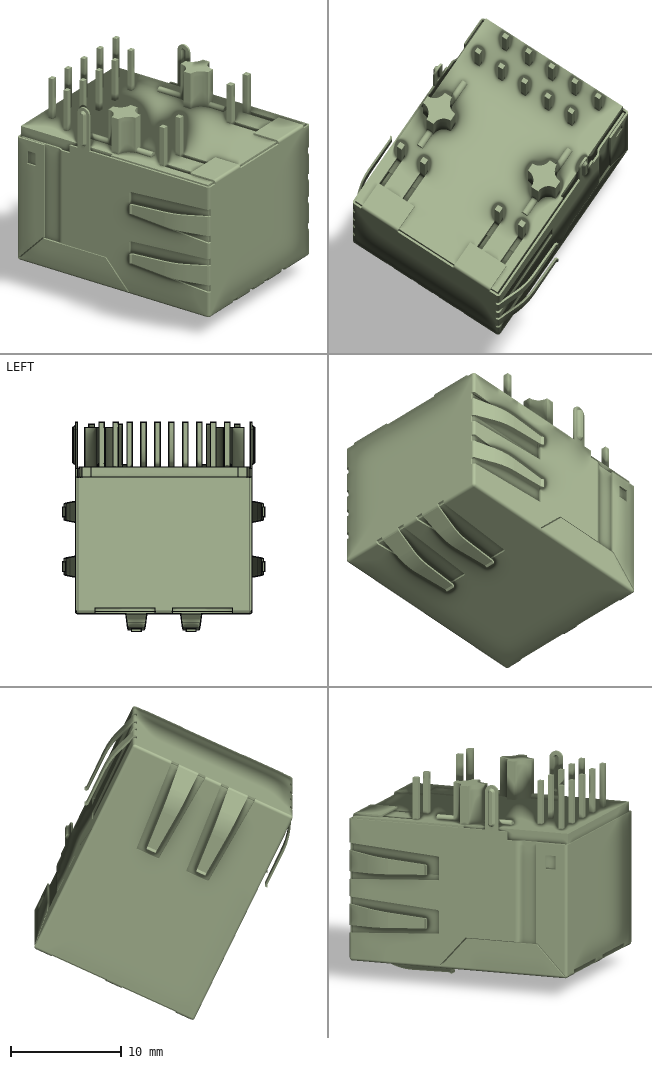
import cadquery as cq
import math


length = 21.3
half_width = 8.03
sheet = 0.2
bend_radius = 0.25
housing_top = 13.35
shield_top = housing_top + sheet
side_top = 13.2
rear_top = 12.42
rear_step_x = 5.85
inner_half_width = half_width - sheet
front_inner_x = length - sheet

tab_start_x = 18.5
tab_inner_y = 3.05
tab_outer_y = 7.0

wing_end_x = 3.0
joggle_start_x = 4.35
joggle_end_x = 5.07
joggle_depth = 0.25
joggle_rear_x = 0.35
wing_window_x = (1.1, 2.09)
wing_window_z = (10.03, 11.33)
catch_start_x = 1.28
catch_height = 0.15
catch_bottom_z = 10.15

flap_slant_gap = 0.17
flap_top_gap = 0.09
flap_height = 2.96
flap_top_x = (2.95, 9.82)
flap_bottom_x = (0.09, 12.5)

relief_y = (0.79, 6.25)
relief_height = 0.51
relief_depth = 0.23

finger_tip_x = 13.3
finger_kink_x = 13.48
finger_kink = 0.13
finger_arc_x = (17.08, 19.21)
finger_tip_half = 0.45
finger_root_half = 0.98
window_start_x = 12.5
window_start_half = 1.1
window_end_half = 1.7
window_corner_radius = 0.13
window_depth = 0.35
side_finger_z = (4.28, 9.27)
bottom_finger_y = 2.5
side_finger_offset, side_finger_angle = 0.94, 20.0
bottom_finger_offset, bottom_finger_angle = 1.38, 27.0

leg_x = 7.37
leg_width = 1.28
leg_top = 17.4
leg_root_z = 12.45
bead_width = 0.68
bead_height = 0.25
bead_taper = 35
bead_z = (13.55, 17.1)
hollow_margin = 0.09
hollow_depth = 0.3
hollow_taper = 20

core_y = -0.06
lip_x = 0.1
housing_half = 7.75
housing_front_x = 21.02
housing_rear_half = 7.48
housing_step_x = 10.29
side_recess_z = (8.55, 11.08)
side_recess_depth = 0.1
peg_x = 10.37
peg_y = 5.73
peg_half = 1.51
peg_tip_half = 0.38
peg_top = 16.93
rib_x = (6.25, 13.55)
rib_radius = 0.32
rib_axis_z = 13.45

insert_end_x = 5.75
insert_width = 13.35
pin_size_x, pin_size_y = 0.43, 0.51
pin_rows_x = (1.47, 4.0)
pin_count = 10
row_pitch = 2.53
pin_pitch = row_pitch / 2
pin_top = leg_top

plate_start_x = 10.22
plate_half = 2.25
plate_flare = 0.55
plate_thickness = housing_top - rear_top

led_y = 5.35
led_size = 2.98
lead_size = 0.53
lead_half_spacing = row_pitch / 2
lead_x = 15.04
lead_bend_radius = 0.13
lead_neck_x = 16.93
lead_neck_relief = 0.09
lead_top = 12.78
lead_pin_top = 17.23


def block(x_range, y_range, z_range):
    """Box between the given limits."""
    size = [b - a for a, b in (x_range, y_range, z_range)]
    corner = (x_range[0], y_range[0], z_range[0])
    return cq.Workplane("XY").box(*size, centered=False).translate(corner)


def both_sides(right):
    """A feature on the +Y side together with its mirror image."""
    return right.union(right.mirror("XZ"))


def shell():
    """Folded box, open on the board side except for the two front tabs."""
    outer = block((0, length), (-half_width, half_width), (0, shield_top)).edges().fillet(bend_radius)
    cavity = block(
        (sheet, front_inner_x), (-inner_half_width, inner_half_width), (sheet, housing_top)
    )
    open_top = block((0, length), (-half_width, half_width), (side_top, shield_top))
    open_top = open_top.cut(
        both_sides(block((tab_start_x, length), (tab_inner_y, tab_outer_y), (side_top, shield_top)))
    )
    open_rear = block((0, rear_step_x), (-half_width, half_width), (rear_top, shield_top))
    return outer.cut(cavity).cut(open_top).cut(open_rear)


def flap_gap_cutter():
    """Narrow gap around the slanted and top edges of the +Y flap, one sheet deep."""
    left, right = flap_top_x
    low_left, low_right = flap_bottom_x
    gap = (
        cq.Workplane("XZ", origin=(0, half_width, 0))
        .polyline([
            (low_left, 0),
            (left, flap_height),
            (right, flap_height),
            (low_right, 0),
            (low_right + flap_slant_gap, 0),
            (right + flap_slant_gap / 2, flap_height + flap_top_gap),
            (left - flap_slant_gap / 2, flap_height + flap_top_gap),
            (low_left - flap_slant_gap, 0),
        ])
        .close()
        .extrude(sheet)
    )
    return gap.intersect(block((sheet, length), (0, half_width), (sheet, shield_top)))


def joggled_wall():
    """Rear part of the +Y wall, set in through an S-bend."""
    middle_x = (joggle_start_x + joggle_end_x) / 2
    overlap_x = joggle_end_x + sheet
    set_in_outer = half_width - joggle_depth
    set_in_inner = set_in_outer - sheet
    return (
        cq.Workplane("XY", origin=(0, 0, sheet))
        .moveTo(joggle_rear_x, set_in_outer)
        .lineTo(joggle_start_x, set_in_outer)
        .tangentArcPoint((middle_x, set_in_outer + joggle_depth / 2), relative=False)
        .tangentArcPoint((joggle_end_x, half_width), relative=False)
        .lineTo(overlap_x, half_width)
        .lineTo(overlap_x, inner_half_width)
        .lineTo(joggle_end_x, inner_half_width)
        .tangentArcPoint((middle_x, set_in_inner + joggle_depth / 2), relative=False)
        .tangentArcPoint((joggle_start_x, set_in_inner), relative=False)
        .lineTo(joggle_rear_x, set_in_inner)
        .close()
        .extrude(rear_top - sheet)
    )


def latch_catch():
    """Ramp on the set-in wall that shows in the wing window."""
    height = wing_window_z[1] - catch_bottom_z
    set_in_outer = half_width - joggle_depth
    return (
        cq.Workplane("XY", origin=(0, 0, catch_bottom_z))
        .polyline([
            (catch_start_x, set_in_outer - sheet / 2),
            (catch_start_x, set_in_outer),
            (wing_window_x[1], set_in_outer + catch_height),
            (wing_window_x[1], set_in_outer - sheet / 2),
        ])
        .close()
        .extrude(height)
    )


def ground_leg():
    """Round-ended solder leg on the +Y wall, with a raised, hollow bead."""
    leg = (
        cq.Workplane("XZ", origin=(leg_x, half_width, 0))
        .moveTo(-leg_width / 2, leg_root_z)
        .lineTo(-leg_width / 2, leg_top - leg_width / 2)
        .threePointArc((0, leg_top), (leg_width / 2, leg_top - leg_width / 2))
        .lineTo(leg_width / 2, leg_root_z)
        .close()
        .extrude(sheet)
    )
    bead = (
        cq.Workplane("XZ", origin=(leg_x, half_width, sum(bead_z) / 2))
        .slot2D(bead_z[1] - bead_z[0], bead_width, 90)
        .extrude(-bead_height, taper=bead_taper)
    )
    hollow = (
        cq.Workplane("XZ", origin=(leg_x, inner_half_width, sum(bead_z) / 2))
        .slot2D(bead_z[1] - bead_z[0] - 2 * hollow_margin, bead_width - 2 * hollow_margin, 90)
        .extrude(-hollow_depth, taper=hollow_taper)
    )
    return leg.union(bead).cut(hollow)


def tapered_strip(start_x, start_half, end_half, thickness):
    """Symmetric strip in XY that widens from start_x to the front, centred on Z = 0."""
    return (
        cq.Workplane("XY", origin=(0, 0, -thickness / 2))
        .polyline([(start_x, -start_half), (length, -end_half), (length, end_half), (start_x, start_half)])
        .close()
        .extrude(thickness)
    )


def finger_window():
    """Cutter for a window in a wall whose outer face is Z = 0; the finger root is left standing."""
    cut_thickness = 2 * window_depth
    window = tapered_strip(window_start_x, window_start_half, window_end_half, cut_thickness)
    window = window.edges("|Z").edges("<X").fillet(window_corner_radius)
    root = tapered_strip(finger_tip_x, finger_tip_half, finger_root_half, cut_thickness)
    front_wall = block(
        (front_inner_x, length), (-half_width, half_width), (-window_depth, window_depth)
    )
    return window.cut(root.intersect(front_wall))


def spring_finger(offset, angle):
    """Finger outside a wall whose outer face is Z = 0, standing off towards -Z."""
    slope = math.radians(angle)
    arc_start, arc_end = finger_arc_x
    radius = (arc_end - arc_start) / math.sin(slope)
    arc_rise = radius * (1 - math.cos(slope))
    root_x = arc_end + (offset + sheet / 2 - arc_rise) / math.tan(slope)
    center_line = (
        cq.Workplane("XZ")
        .moveTo(finger_tip_x, -offset - finger_kink)
        .lineTo(finger_kink_x, -offset)
        .lineTo(arc_start, -offset)
        .threePointArc(
            (
                arc_start + radius * math.sin(slope / 2),
                -offset + radius * (1 - math.cos(slope / 2)),
            ),
            (arc_end, -offset + arc_rise),
        )
        .lineTo(root_x, sheet / 2)
    )
    strip = center_line.offset2D(sheet / 2, "intersection").extrude(finger_root_half, both=True)
    return strip.intersect(
        tapered_strip(finger_tip_x, finger_tip_half, finger_root_half, 2 * half_width)
    )


def make_shield():
    """Complete folded shield."""
    body = shell()
    exposed_joggle = block(
        (wing_end_x, joggle_end_x), (inner_half_width, half_width), (flap_height, rear_top)
    )
    body = body.cut(both_sides(exposed_joggle))
    body = body.union(both_sides(joggled_wall()))
    body = body.cut(both_sides(flap_gap_cutter()))
    wing_window = block(wing_window_x, (inner_half_width, half_width), wing_window_z)
    body = body.cut(both_sides(wing_window)).union(both_sides(latch_catch()))
    relief = block((0, relief_depth), relief_y, (0, relief_height))
    body = body.cut(both_sides(relief))
    body = body.union(both_sides(ground_leg()))
    return add_fingers(body)


def add_fingers(body):
    """Shield with windows and spring fingers in both side walls and the bottom."""
    side_finger = spring_finger(side_finger_offset, side_finger_angle)
    for z in side_finger_z:
        window = finger_window().rotate((0, 0, 0), (1, 0, 0), 90).translate((0, half_width, z))
        finger = side_finger.rotate((0, 0, 0), (1, 0, 0), 90).translate((0, half_width, z))
        body = body.cut(both_sides(window)).union(both_sides(finger))
    bottom_finger = spring_finger(bottom_finger_offset, bottom_finger_angle)
    for y in (-bottom_finger_y, bottom_finger_y):
        body = body.cut(finger_window().translate((0, y, 0)))
        body = body.union(bottom_finger.translate((0, y, 0)))
    return body


def make_insert():
    """Terminal carrier with two staggered rows of pins."""
    y_range = (core_y - insert_width / 2, core_y + insert_width / 2)
    body = block((lip_x, insert_end_x), y_range, (rear_top, housing_top))
    for i in range(pin_count):
        x = pin_rows_x[i % 2]
        y = core_y + pin_pitch * ((pin_count - 1) / 2 - i)
        pin = block(
            (x - pin_size_x / 2, x + pin_size_x / 2),
            (y - pin_size_y / 2, y + pin_size_y / 2),
            (rear_top, pin_top),
        )
        body = body.union(pin)
    return body


def make_latch_plate():
    """Flush plate over the latch channel, flared at the front."""
    flare_x = housing_front_x - plate_flare
    flared = plate_half + plate_flare
    return (
        cq.Workplane("XY", origin=(0, core_y, housing_top - plate_thickness))
        .polyline([
            (plate_start_x, -plate_half),
            (flare_x, -plate_half),
            (housing_front_x, -flared),
            (housing_front_x, flared),
            (flare_x, plate_half),
            (plate_start_x, plate_half),
        ])
        .close()
        .extrude(plate_thickness)
    )


def led_lead(y):
    """Lead that runs back from the LED neck and turns up into a pin, centred on y."""
    pin_front_x = lead_x + lead_size
    return (
        cq.Workplane("XZ", origin=(0, y + lead_size / 2, 0))
        .moveTo(lead_x, lead_pin_top)
        .lineTo(lead_x, lead_top - lead_size)
        .lineTo(lead_neck_x, lead_top - lead_size)
        .lineTo(lead_neck_x, lead_top)
        .lineTo(pin_front_x + lead_bend_radius, lead_top)
        .radiusArc((pin_front_x, lead_top + lead_bend_radius), lead_bend_radius)
        .lineTo(pin_front_x, lead_pin_top)
        .close()
        .extrude(lead_size)
    )


def make_led(center_y):
    """LED block with two leads that run back and turn up into pins."""
    y_range = (center_y - led_size / 2, center_y + led_size / 2)
    body = block((tab_start_x, housing_front_x), y_range, (lead_top - led_size, lead_top))
    neck_z = (lead_top - lead_size, lead_top - lead_neck_relief)
    neck_half = (lead_size - lead_neck_relief) / 2
    for side in (-1, 1):
        y = center_y + side * lead_half_spacing
        neck_y = y - side * lead_neck_relief / 2
        neck = block((lead_neck_x, tab_start_x), (neck_y - neck_half, neck_y + neck_half), neck_z)
        body = body.union(led_lead(y)).union(neck)
    return body


def board_peg():
    """Four-pointed locating peg with concave flanks."""
    a, b = peg_tip_half, peg_half
    flank = b - (b - a) * math.sqrt(0.5)
    return (
        cq.Workplane("XY", origin=(0, 0, housing_top))
        .moveTo(a, b)
        .threePointArc((flank, flank), (b, a))
        .lineTo(b, -a)
        .threePointArc((flank, -flank), (a, -b))
        .lineTo(-a, -b)
        .threePointArc((-flank, -flank), (-b, -a))
        .lineTo(-b, a)
        .threePointArc((-flank, flank), (-a, b))
        .close()
        .extrude(peg_top - housing_top)
    )


def make_housing(fitted_bodies):
    """Housing that fills the shield, with recesses for the bodies fitted into it."""
    rear_y = (core_y - housing_rear_half, core_y + housing_rear_half)
    front_y = (core_y - housing_half, core_y + housing_half)
    body = block((sheet, housing_step_x), rear_y, (sheet, housing_top))
    body = body.union(block((housing_step_x, housing_front_x), front_y, (sheet, housing_top)))
    body = body.union(block((lip_x, sheet), rear_y, (rear_top, housing_top)))

    recess_x = (window_start_x, housing_front_x)
    body = body.cut(block(recess_x, (front_y[0], front_y[0] + side_recess_depth), side_recess_z))
    body = body.cut(block(recess_x, (front_y[1] - side_recess_depth, front_y[1]), side_recess_z))

    for side in (-1, 1):
        y = core_y + side * peg_y
        rib = cq.Workplane("YZ", origin=(rib_x[0], y, rib_axis_z)).circle(rib_radius)
        body = body.union(rib.extrude(rib_x[1] - rib_x[0]))
        body = body.union(board_peg().translate((peg_x, y, 0)))
        for lead_side in (-1, 1):
            lead_y = core_y + side * led_y + lead_side * lead_half_spacing
            groove = block(
                (lead_x, tab_start_x),
                (lead_y - lead_size / 2, lead_y + lead_size / 2),
                (lead_top - lead_size, housing_top),
            )
            body = body.cut(groove)
    for fitted in fitted_bodies:
        body = body.cut(fitted)
    return body


shield = make_shield()
insert = make_insert()
latch_plate = make_latch_plate()
leds = [make_led(core_y + side * led_y) for side in (-1, 1)]
housing = make_housing([insert, latch_plate, *leds])

result = cq.Compound.makeCompound(
    [shield.val(), housing.val(), insert.val(), latch_plate.val(), *[led.val() for led in leds]]
)